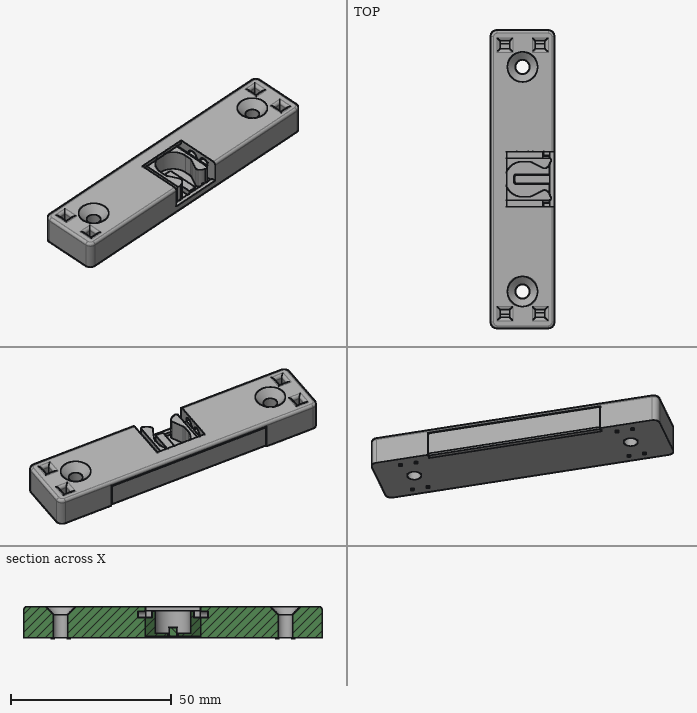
import cadquery as cq

length = 93.0
width = 20.0
top_z = 10.0
bottom_z = 0.3
corner_radius = 2.0
top_fillet = 0.9
half_width = width / 2

foot_diameter = 1.0
foot_x = 7.0
foot_spread = 2.5

screw_y = 35.0
screw_diameter = 4.4
sink_diameter = 9.4
sink_angle = 90

socket_x = 5.5
socket_y = 41.85
socket_size_x = 3.0
socket_size_y = 2.4
socket_mouth_radius = 1.0
socket_depth = 3.7
socket_step_depth = 0.5
socket_step_y = 0.3
socket_places = (
    (-socket_x, socket_y, -1),
    (socket_x, socket_y, -1),
    (-socket_x, -socket_y, 1),
    (socket_x, -socket_y, -1),
)

panel_gap = 0.3
opening_half_length = 27.9
opening_top_z = 8.6
panel_depth = 1.9
panel_chamfer = 0.5

clearance = 0.3
notch_x = -4.9
notch_half_y = 8.6
lip_inner_x = 8.6
lip_z = 2.6
seat_z = 0.9
seat_back_x = -6.5
ledge_x = 6.6
ledge_half_y = 7.4
ledge_z = 1.8

keeper_top_z = 8.7
keeper_floor_z = ledge_z
jaw_half_y = 6.6
wing_z = 6.7
cavity_radius = 5.5
slot_x = -2.7
slot_half_y = 1.6
slot_corner = 0.9

recess_radius = 1.9
recess_depth = 2.3
recess_xs = (0.0, 5.1)

tongue_top_z = 3.5


def block(x0, x1, y0, y1, z0, z1):
    """Box between two opposite corners."""
    return cq.Workplane("XY").box(x1 - x0, y1 - y0, z1 - z0, centered=False).translate((x0, y0, z0))


def band(x0, x1, half_y, z0, z1):
    """Box centred on Y = 0."""
    return block(x0, x1, -half_y, half_y, z0, z1)


def cut_socket(body, x, y, deep_side):
    """Cut one socket with a stepped floor, deeper on the deep_side of Y, and round its mouth."""
    half_x = socket_size_x / 2
    half_y = socket_size_y / 2
    floor_z = top_z - socket_depth
    shaft = block(x - half_x, x + half_x, y - half_y, y + half_y, floor_z, top_z)
    step_ys = sorted((y - deep_side * socket_step_y, y + deep_side * half_y))
    step = block(x - half_x, x + half_x, *step_ys, floor_z - socket_step_depth, floor_z)
    body = body.cut(shaft).cut(step)
    margin = 0.1
    mouth = cq.selectors.BoxSelector(
        (x - socket_size_x, y - socket_size_y, top_z - margin),
        (x + socket_size_x, y + socket_size_y, top_z + margin),
    )
    return body.edges(mouth).fillet(socket_mouth_radius)


def make_seat():
    """Everything removed from the housing for the keeper and the tongue."""
    seat = band(seat_back_x, lip_inner_x, ledge_half_y, seat_z, keeper_top_z)
    seat = seat.union(band(seat_back_x, ledge_x, notch_half_y, seat_z, keeper_top_z))
    seat = seat.union(band(ledge_x, lip_inner_x, notch_half_y, ledge_z, lip_z))
    return seat.union(band(notch_x, half_width, notch_half_y, lip_z, top_z))


def make_recess(x):
    """Round-topped recess running into both side walls of the notch."""
    reach = notch_half_y + recess_depth
    drum = cq.Workplane("XZ", origin=(x, 0, wing_z)).circle(recess_radius).extrude(reach, both=True)
    return drum.intersect(band(seat_back_x, ledge_x, reach, wing_z, keeper_top_z))


def make_housing():
    """Rounded bar with screw holes, sockets, keeper seat, panel opening and feet."""
    body = (
        cq.Workplane("XY", origin=(0, 0, bottom_z))
        .rect(width, length).extrude(top_z - bottom_z)
        .edges("|Z").fillet(corner_radius)
        .faces(">Z").edges().fillet(top_fillet)
    )
    body = (
        body.faces(">Z").workplane(origin=(0, 0, top_z))
        .pushPoints([(0, -screw_y), (0, screw_y)])
        .cskHole(screw_diameter, sink_diameter, sink_angle)
    )
    for x, y, deep_side in socket_places:
        body = cut_socket(body, x, y, deep_side)
    body = body.cut(make_seat())
    for x in recess_xs:
        body = body.cut(make_recess(x))
    opening = band(-half_width, panel_depth - half_width, opening_half_length, bottom_z, opening_top_z)
    body = body.cut(opening)
    foot_points = [
        (x, side * (screw_y + offset))
        for x in (-foot_x, foot_x)
        for side in (-1, 1)
        for offset in (-foot_spread, foot_spread)
    ]
    feet = cq.Workplane("XY").pushPoints(foot_points).circle(foot_diameter / 2).extrude(bottom_z)
    return body.union(feet)


def make_panel():
    """Flush side panel with a gap to its opening and a chamfered lower edge."""
    panel = band(
        -half_width, panel_depth - half_width, opening_half_length - panel_gap,
        bottom_z, opening_top_z - panel_gap,
    )
    return panel.faces("<X").edges("<Z").chamfer(panel_chamfer)


def make_jaw_cavity():
    """Keyhole cavity: round at the back, pinched at the waist, flared at the mouth."""
    shoulder_start = (2.0, cavity_radius)
    shoulder_mid = (2.5, 5.4)
    shoulder_end = (3.0, 5.2)
    waist_start = (6.5, 3.4)
    waist_mid = (7.0, 3.35)
    waist_end = (7.4, 3.5)
    nose_mid = (8.2, 4.2)
    nose_end = (8.7, 5.4)
    tip_mid = (8.9, 6.0)
    tip_end = (lip_inner_x, jaw_half_y)
    mouth_x = half_width

    def below(point):
        return (point[0], -point[1])

    outline = (
        cq.Workplane("XY", origin=(0, 0, keeper_floor_z))
        .moveTo(0, cavity_radius)
        .lineTo(*shoulder_start)
        .threePointArc(shoulder_mid, shoulder_end)
        .lineTo(*waist_start)
        .threePointArc(waist_mid, waist_end)
        .threePointArc(nose_mid, nose_end)
        .threePointArc(tip_mid, tip_end)
        .lineTo(mouth_x, jaw_half_y)
        .lineTo(mouth_x, -jaw_half_y)
        .lineTo(*below(tip_end))
        .threePointArc(below(tip_mid), below(nose_end))
        .threePointArc(below(nose_mid), below(waist_end))
        .threePointArc(below(waist_mid), below(waist_start))
        .lineTo(*below(shoulder_end))
        .threePointArc(below(shoulder_mid), below(shoulder_start))
        .lineTo(0, -cavity_radius)
        .threePointArc((-cavity_radius, 0), (0, cavity_radius))
        .close()
    )
    return outline.extrude(keeper_top_z - keeper_floor_z)


def make_keeper():
    """Slotted floor, low side wings and two jaws whose tips overhang the housing lip."""
    front_x = lip_inner_x - clearance
    overhang_z = lip_z + clearance
    base = band(seat_back_x, front_x, ledge_half_y - clearance, seat_z, keeper_floor_z)
    wings = band(seat_back_x, ledge_x - clearance, notch_half_y, seat_z, wing_z)
    jaws = band(seat_back_x, front_x, jaw_half_y, seat_z, keeper_top_z)
    tips = band(seat_back_x, half_width, jaw_half_y, overhang_z, keeper_top_z)
    body = base.union(wings).union(jaws).union(tips).cut(make_jaw_cavity())
    slot = band(slot_x, half_width, slot_half_y, seat_z, keeper_floor_z)
    return body.cut(slot.edges("|Z and <X").fillet(slot_corner))


def make_tongue():
    """Bar standing in the keeper slot and ending at the housing lip."""
    tongue = band(slot_x + clearance, lip_inner_x, slot_half_y - clearance, seat_z, tongue_top_z)
    return tongue.edges("|Z and <X").fillet(slot_corner - clearance)


housing = make_housing()
panel = make_panel()
keeper = make_keeper()
tongue = make_tongue()

result = cq.Compound.makeCompound([
    housing.solids().val(),
    panel.solids().val(),
    keeper.solids().val(),
    tongue.solids().val(),
])